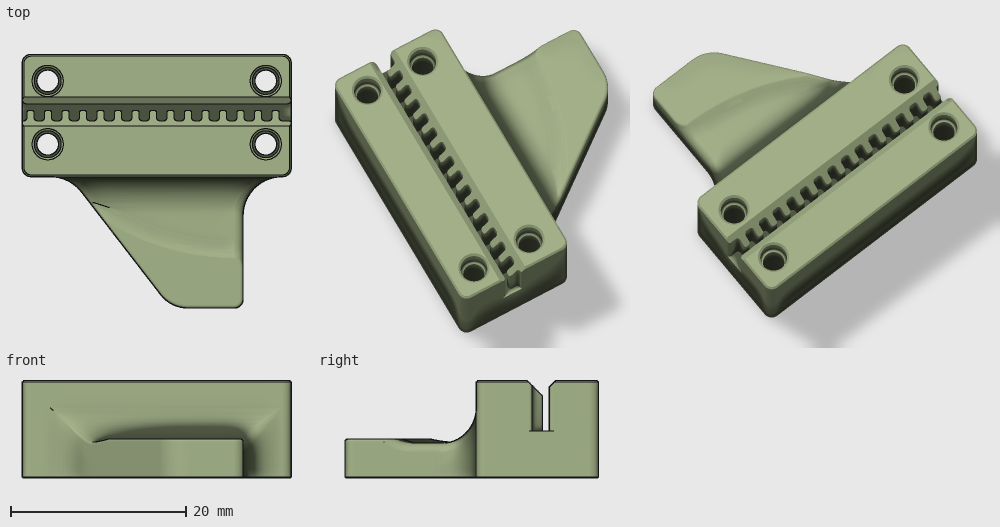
import cadquery as cq
import math


BLOCK_LENGTH = 30.75
BLOCK_DEPTH = 14.0
BLOCK_HEIGHT = 11.2
BLOCK_CORNER_RADIUS = 1.0
TOP_CHAMFER = 0.2
BOTTOM_CHAMFER = 0.15

HOLE_DIAMETER = 2.45
HOLE_MOUTH_DIAMETER = 3.08
HOLE_MOUTH_DEPTH = 2.0
HOLE_CHAMFER = 0.25
HOLE_SPACING_X = 24.9
HOLE_SPACING_Y = 7.23
HOLE_FRONT_Y = 3.72

SLOT_FLOOR_Z = 5.4
SLOT_BACK_Y = 8.33
SLOT_BACK_CHAMFER = 0.77
SLOT_BACK_END_RADIUS = 0.5
TOOTH_ROOT_Y = 6.4
TOOTH_TIP_Y = 7.6
TOOTH_TIP_CHAMFER = 1.8
LEFT_ROOT_END_RADIUS = 0.15
RIGHT_ROOT_END_RADIUS = 0.3
TOOTH_COUNT = 15
TOOTH_PITCH = 2.0
TOOTH_WIDTH = 0.8
TOOTH_TIP_RADIUS = 0.25
TOOTH_ROOT_RADIUS = 0.37
FIRST_TOOTH_X = -14.42

ARM_LENGTH = 15.0
ARM_RIGHT_X = 9.87
SLANT_ROOT_X = -9.93
SLANT_TIP_X = 1.63
ARM_ROOT_RADIUS = 4.43
SLANT_TIP_RADIUS = 4.0
ARM_CORNER_RADIUS = 1.0
SHOULDER_X = BLOCK_LENGTH / 2 - BLOCK_CORNER_RADIUS

FLOOR_Z = 4.0
PAD_Z = 4.5
COVE_RADIUS = 4.0
COVE_TOP_Z = FLOOR_Z + COVE_RADIUS
FLOOR_EDGE_RADIUS = 1.0
PAD_EDGE_RADIUS = 0.35
CREST_RADIUS = 27.37
CREST_FRONT_Y = -9.22
RAMP_AXIS_X = ARM_RIGHT_X - FLOOR_EDGE_RADIUS
RAMP_AXIS_Y = CREST_FRONT_Y + CREST_RADIUS

OVERLAP = 0.6
COVE_PIECE_END_Y = -6.15
RAMP_PIECE_START_Y = -COVE_RADIUS / 2
RAMP_SWEEP_ANGLE = 60.0
RAMP_INNER_RADIUS = 9.22


def slab(y_min, y_max, z_max):
    """A wide plain box between two Y positions, standing on Z = 0."""
    return (
        cq.Workplane("XY")
        .box(BLOCK_LENGTH, y_max - y_min, z_max, centered=(True, False, False))
        .translate((0, y_min, 0))
    )


def nearest(x, y, z):
    return cq.selectors.NearestToPointSelector((x, y, z))



def make_block():
    block = slab(0, BLOCK_DEPTH, BLOCK_HEIGHT).edges("|Z").fillet(BLOCK_CORNER_RADIUS)
    return block.faces(">Z").edges().chamfer(TOP_CHAMFER)


def toothed_slot_cutter():
    """The slot in plan: a straight back wall and a front wall with a row of teeth."""
    end_x = BLOCK_LENGTH / 2 + OVERLAP
    outline = [(end_x, TOOTH_ROOT_Y), (end_x, SLOT_BACK_Y), (-end_x, SLOT_BACK_Y), (-end_x, TOOTH_ROOT_Y)]
    for i in range(TOOTH_COUNT):
        left = FIRST_TOOTH_X + i * TOOTH_PITCH - TOOTH_WIDTH / 2
        right = left + TOOTH_WIDTH
        outline += [(left, TOOTH_ROOT_Y), (left, TOOTH_TIP_Y), (right, TOOTH_TIP_Y), (right, TOOTH_ROOT_Y)]
    cutter = (
        cq.Workplane("XY", origin=(0, 0, SLOT_FLOOR_Z))
        .polyline(outline).close()
        .extrude(BLOCK_HEIGHT - SLOT_FLOOR_Z)
    )
    inner_length = BLOCK_LENGTH - OVERLAP / 2
    for y, radius in ((TOOTH_ROOT_Y, TOOTH_ROOT_RADIUS), (TOOTH_TIP_Y, TOOTH_TIP_RADIUS)):
        corners = cq.selectors.BoxSelector(
            (-inner_length / 2, y - radius / 2, 0), (inner_length / 2, y + radius / 2, BLOCK_HEIGHT)
        )
        cutter = cutter.edges("|Z").edges(corners).fillet(radius)
    return cutter


def slot_mouth_cutter():
    """The 45 degree lead-in over the slot, cut into the teeth and into the back wall."""
    return (
        cq.Workplane("YZ")
        .moveTo(TOOTH_TIP_Y - TOOTH_TIP_CHAMFER, BLOCK_HEIGHT)
        .lineTo(TOOTH_TIP_Y, BLOCK_HEIGHT - TOOTH_TIP_CHAMFER)
        .lineTo(SLOT_BACK_Y, BLOCK_HEIGHT - SLOT_BACK_CHAMFER)
        .lineTo(SLOT_BACK_Y + SLOT_BACK_CHAMFER, BLOCK_HEIGHT)
        .close()
        .extrude(BLOCK_LENGTH, both=True)
    )


def cut_belt_slot(block):
    slotted = block.cut(toothed_slot_cutter())
    middle_z = (SLOT_FLOOR_Z + BLOCK_HEIGHT) / 2
    for x, root_radius in ((-BLOCK_LENGTH / 2, LEFT_ROOT_END_RADIUS), (BLOCK_LENGTH / 2, RIGHT_ROOT_END_RADIUS)):
        slotted = slotted.edges(nearest(x, SLOT_BACK_Y, middle_z)).fillet(SLOT_BACK_END_RADIUS)
        slotted = slotted.edges(nearest(x, TOOTH_ROOT_Y, middle_z)).fillet(root_radius)
    return slotted.cut(slot_mouth_cutter())


def hole_cutter():
    """One stepped hole as a turned profile: through bore, wider mouth and entry chamfer."""
    bore = HOLE_DIAMETER / 2
    mouth = HOLE_MOUTH_DIAMETER / 2
    return (
        cq.Workplane("XZ")
        .moveTo(0, 0)
        .lineTo(bore, 0)
        .lineTo(bore, BLOCK_HEIGHT - HOLE_MOUTH_DEPTH)
        .lineTo(mouth, BLOCK_HEIGHT - HOLE_MOUTH_DEPTH)
        .lineTo(mouth, BLOCK_HEIGHT - HOLE_CHAMFER)
        .lineTo(mouth + HOLE_CHAMFER, BLOCK_HEIGHT)
        .lineTo(0, BLOCK_HEIGHT)
        .close()
        .revolve(360, (0, 0, 0), (0, 1, 0))
    )


def cut_holes(body):
    for x in (-HOLE_SPACING_X / 2, HOLE_SPACING_X / 2):
        for y in (HOLE_FRONT_Y, HOLE_FRONT_Y + HOLE_SPACING_Y):
            body = body.cut(hole_cutter().translate((x, y, 0)))
    return body



def make_arm_prism():
    """The arm outline with its rounded corners, as tall as the top of the cove."""
    corners = (
        (SLANT_ROOT_X, 0, ARM_ROOT_RADIUS),
        (SLANT_TIP_X, -ARM_LENGTH, SLANT_TIP_RADIUS),
        (ARM_RIGHT_X, -ARM_LENGTH, ARM_CORNER_RADIUS),
        (ARM_RIGHT_X, 0, ARM_ROOT_RADIUS),
    )
    outline = [(-SHOULDER_X, OVERLAP), (-SHOULDER_X, 0)]
    outline += [(x, y) for x, y, radius in corners]
    outline += [(SHOULDER_X, 0), (SHOULDER_X, OVERLAP)]
    prism = cq.Workplane("XY").polyline(outline).close().extrude(COVE_TOP_Z)
    for x, y, radius in corners:
        prism = prism.edges(nearest(x, y, COVE_TOP_Z / 2)).fillet(radius)
    return prism


def cove_envelope():
    """Everything under the cove and the first stretch of the low floor."""
    middle = COVE_RADIUS * math.sqrt(0.5)
    return (
        cq.Workplane("YZ")
        .moveTo(OVERLAP, 0)
        .lineTo(OVERLAP, COVE_TOP_Z)
        .lineTo(0, COVE_TOP_Z)
        .threePointArc((middle - COVE_RADIUS, COVE_TOP_Z - middle), (-COVE_RADIUS, FLOOR_Z))
        .lineTo(COVE_PIECE_END_Y, FLOOR_Z)
        .lineTo(COVE_PIECE_END_Y, 0)
        .close()
        .extrude(BLOCK_LENGTH, both=True)
    )


def ramp_envelope():
    """Everything under the low floor and the ramp, which runs on upwards past the pad height."""
    rise = PAD_Z - FLOOR_Z
    foot_radius = CREST_RADIUS - math.sqrt(COVE_RADIUS**2 - (COVE_RADIUS - rise) ** 2)
    outer_radius = CREST_RADIUS + ARM_LENGTH

    def ramp_point(angle):
        turn = math.radians(angle)
        return foot_radius + COVE_RADIUS * math.sin(turn), COVE_TOP_Z - COVE_RADIUS * math.cos(turn)

    ramp_end = ramp_point(RAMP_SWEEP_ANGLE)
    return (
        cq.Workplane("XZ")
        .moveTo(RAMP_INNER_RADIUS, 0)
        .lineTo(RAMP_INNER_RADIUS, FLOOR_Z)
        .lineTo(foot_radius, FLOOR_Z)
        .threePointArc(ramp_point(RAMP_SWEEP_ANGLE / 2), ramp_end)
        .lineTo(outer_radius, ramp_end[1])
        .lineTo(outer_radius, 0)
        .close()
        .revolve(360, (0, 0, 0), (0, 1, 0))
        .translate((RAMP_AXIS_X, RAMP_AXIS_Y, 0))
        .intersect(slab(-ARM_LENGTH - OVERLAP, RAMP_PIECE_START_Y, COVE_TOP_Z))
    )


def round_low_edges(piece, slant_y, slant_z):
    """Round the right edge and the slanted edge; the latter is picked at a given place along it."""
    slant_x = SLANT_ROOT_X - (SLANT_TIP_X - SLANT_ROOT_X) * slant_y / ARM_LENGTH
    right_y = (COVE_PIECE_END_Y - ARM_ROOT_RADIUS) / 2
    piece = piece.edges(nearest(ARM_RIGHT_X, right_y, FLOOR_Z)).fillet(FLOOR_EDGE_RADIUS)
    return piece.edges(nearest(slant_x, slant_y, slant_z)).fillet(PAD_EDGE_RADIUS)


def pad_envelope(prism):
    """The pad height with a rounded rim, left open over the cove."""
    pad = prism.intersect(slab(-ARM_LENGTH - OVERLAP, OVERLAP, PAD_Z))
    front_x = (SLANT_TIP_X + ARM_RIGHT_X) / 2
    pad = pad.edges(nearest(front_x, -ARM_LENGTH, PAD_Z)).fillet(PAD_EDGE_RADIUS)
    return pad.union(slab(-COVE_RADIUS, OVERLAP, COVE_TOP_Z))


def make_arm():
    prism = make_arm_prism()
    cove_piece = prism.intersect(cove_envelope())
    cove_piece = round_low_edges(cove_piece, (COVE_PIECE_END_Y - COVE_RADIUS) / 2, FLOOR_Z)
    ramp_piece = prism.intersect(ramp_envelope())
    ramp_piece = round_low_edges(ramp_piece, -5.35, 4.7)
    arm = cove_piece.union(ramp_piece).intersect(pad_envelope(prism))
    return arm.edges(nearest(0.9, -8.03, PAD_Z)).fillet(PAD_EDGE_RADIUS)


body = cut_belt_slot(make_block()).union(make_arm())
body = body.faces("<Z").edges().chamfer(BOTTOM_CHAMFER)
result = cut_holes(body)